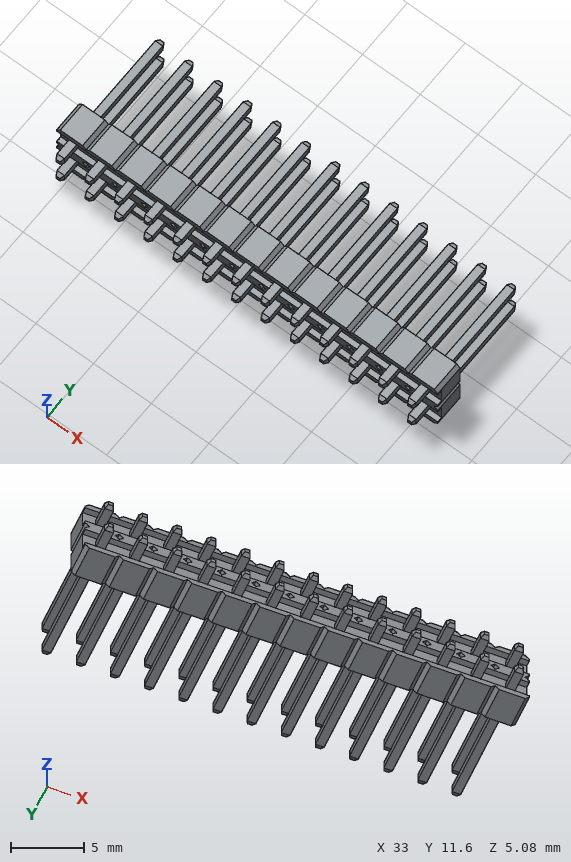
import cadquery as cq


pitch = 2.54
columns = 13
rows = 2
housing_depth = 2.5
cell_chamfer = 0.3

rail_height = 1.0
groove_height = pitch - rail_height
groove_depth = 0.45

pin_width = 0.65
pin_length = 11.6
front_pin_reach = 1.5
tip_length = 0.32
tip_inset = 0.15

housing_length = columns * pitch
housing_height = rows * pitch
housing_front = -housing_depth / 2
housing_back = housing_depth / 2
pin_front = housing_front - front_pin_reach


def centred_positions(count, spacing):
    """Evenly spaced coordinates, symmetric about zero."""
    return [(i - (count - 1) / 2) * spacing for i in range(count)]


column_centres = centred_positions(columns, pitch)
row_centres = centred_positions(rows, pitch)


def make_housing():
    """Block with V-notches wherever the corners of the cells meet."""
    block = cq.Workplane("XY").box(housing_length, housing_depth, housing_height)
    cell_corners = [
        (x, z)
        for x in centred_positions(columns + 1, pitch)
        for z in centred_positions(rows + 1, pitch)
    ]
    diamond = cq.Sketch().polygon([
        (-cell_chamfer, 0),
        (0, cell_chamfer),
        (cell_chamfer, 0),
        (0, -cell_chamfer),
        (-cell_chamfer, 0),
    ])
    notches = (
        cq.Workplane("XZ", origin=(0, housing_back, 0))
        .pushPoints(cell_corners)
        .placeSketch(diamond)
        .extrude(housing_depth)
    )
    return block.cut(notches)


def make_groove(z):
    """Full-length groove cutter for the front face of the row at height z."""
    return (
        cq.Workplane("XY")
        .box(housing_length, groove_depth, groove_height)
        .translate((0, housing_front + groove_depth / 2, z))
    )


def make_pin():
    """Square pin along Y, centred on the Y axis, with both ends tapered."""
    tip_width = pin_width - 2 * tip_inset
    straight_length = pin_length - 2 * tip_length
    straight_front = pin_front + tip_length
    straight_back = straight_front + straight_length
    pin = (
        cq.Workplane("XY")
        .box(pin_width, straight_length, pin_width)
        .translate((0, (straight_front + straight_back) / 2, 0))
    )
    for straight_end, direction in ((straight_front, -1), (straight_back, 1)):
        tip = (
            cq.Workplane("XZ", origin=(0, straight_end, 0))
            .rect(pin_width, pin_width)
            .workplane(offset=-direction * tip_length)
            .rect(tip_width, tip_width)
            .loft(combine=True)
        )
        pin = pin.union(tip)
    return pin


header = make_housing()
for row_z in row_centres:
    header = header.cut(make_groove(row_z))

pin = make_pin().val()
pins = [
    pin.translate(cq.Vector(column_x, 0, row_z))
    for row_z in row_centres
    for column_x in column_centres
]

result = cq.Workplane("XY").newObject([header.val().fuse(*pins)])